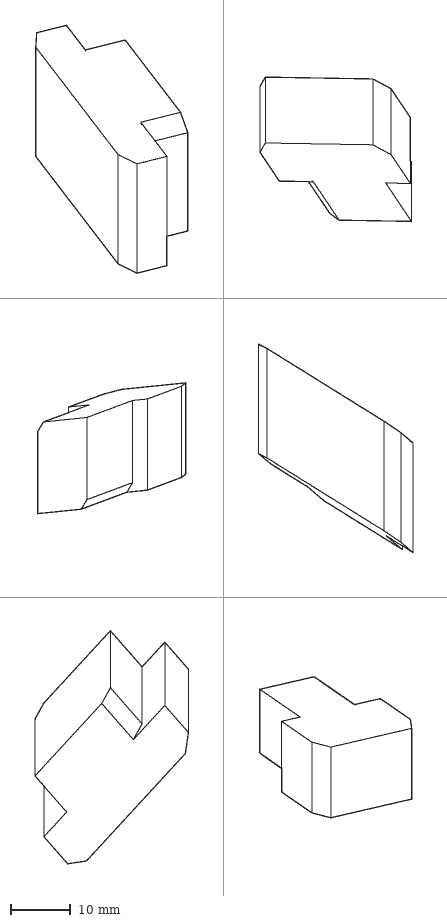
import cadquery as cq
import math

head_width = 25.0
head_depth = 9.0
total_depth = 18.0
stem_width = 15.6
head_chamfer = 2.25
slant_angle = 35.0
slant_thickness = 15.6
stem_chamfer_vertical = 1.9
stem_chamfer_across = 1.8

slant_slope = math.tan(math.radians(slant_angle))
side_height = slant_thickness / math.cos(math.radians(slant_angle))


def slanted_block(width, depth):
    """Parallelogram with upright sides, falling towards +X, extruded from Y = 0 to +Y."""
    half_width = width / 2
    drop = half_width * slant_slope
    half_height = side_height / 2
    outline = [
        (-half_width, drop - half_height),
        (half_width, -drop - half_height),
        (half_width, -drop + half_height),
        (-half_width, drop + half_height),
    ]
    return cq.Workplane("XZ").polyline(outline).close().extrude(-depth)


def head_corner_cut(side):
    """Triangular prism along Z that bevels one front edge of the head; side is -1 or +1."""
    outer_x = side * head_width / 2
    overall_height = side_height + head_width * slant_slope
    return (
        cq.Workplane("XY")
        .polyline([(outer_x, 0), (outer_x - side * head_chamfer, 0), (outer_x, head_chamfer)])
        .close()
        .extrude(overall_height, both=True)
    )


def stem_corner_cut(side):
    """Prism along Y that bevels one obtuse stem corner: -1 lower left, +1 upper right."""
    corner_x = side * stem_width / 2
    corner_z = side * (side_height - stem_width * slant_slope) / 2
    outline = [
        (corner_x, corner_z),
        (corner_x, corner_z - side * stem_chamfer_vertical),
        (corner_x - side * stem_chamfer_across, corner_z + side * stem_chamfer_across * slant_slope),
    ]
    stem_depth = total_depth - head_depth
    return (
        cq.Workplane("XZ", origin=(0, head_depth, 0))
        .polyline(outline)
        .close()
        .extrude(-stem_depth)
    )


head = slanted_block(head_width, head_depth)
stem = slanted_block(stem_width, total_depth)
for side in (-1, 1):
    head = head.cut(head_corner_cut(side))
    stem = stem.cut(stem_corner_cut(side))

result = head.union(stem)